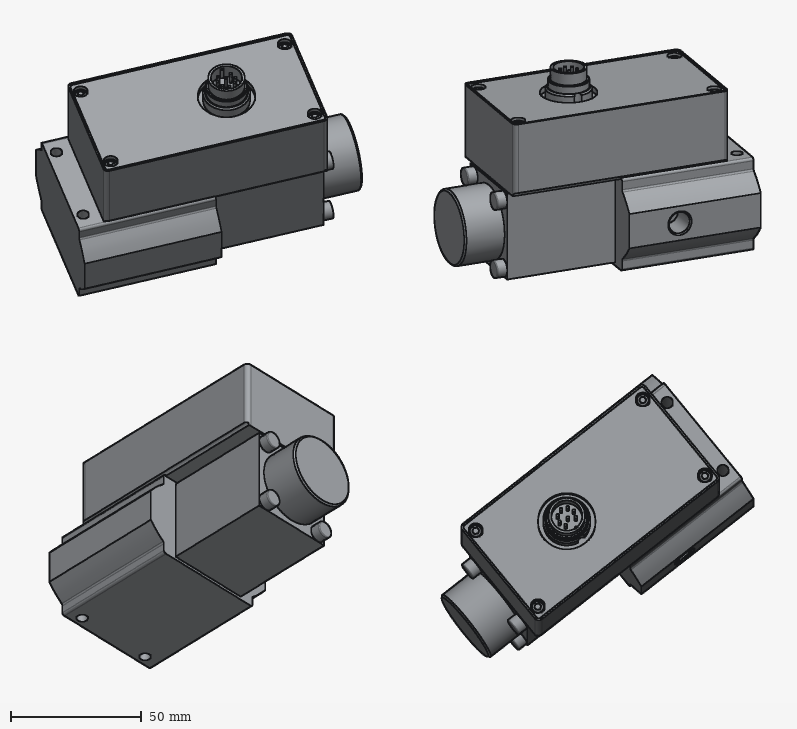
import cadquery as cq
import math

TOTAL_LENGTH = 116.5
TOTAL_HEIGHT = 77.1

BODY_WIDTH = 48.0
BODY_HEIGHT = 38.0
BODY_LENGTH = 54.9
BODY_EDGE_RADIUS = 1.0
WING_SPAN = 62.0
WING_ROOT_HEIGHT = 28.2
WING_TIP_HEIGHT = 14.1
WING_BULGE = 0.3
WING_ROOT_RADIUS = 1.0

AXIS_Z = BODY_HEIGHT / 2
MOUNT_HOLE_DIAMETER = 4.4
MOUNT_HOLE_SPACING = 34.0
MOUNT_HOLE_Y = 3.8
PORT_DIAMETER = 8.6
PORT_MOUTH_DIAMETER = 9.8
PORT_DEPTH = 11.6
PORT_Y = 33.8

BLOCK_SIZE = 35.2
BLOCK_END_Y = 100.0
CYLINDER_DIAMETER = 30.0
CYLINDER_CHAMFER = 0.7
CAP_SCREW_DIAMETER = 7.0
CAP_SCREW_HEIGHT = 4.2
CAP_SCREW_SPACING = 28.0
CAP_SCREW_EDGE_RADIUS = 0.3

BOX_WIDTH = 48.0
BOX_FRONT_Y = 10.3
BOX_LENGTH = BLOCK_END_Y - BOX_FRONT_Y
BOX_BOTTOM_Z = 37.5
BOX_TOP_Z = 67.1
BOX_CORNER_RADIUS = 1.9
RABBET_WIDTH = 1.0
RABBET_HEIGHT = 1.4
RABBET_RADIUS = 1.0
RIM_WIDTH = 0.8
LID_RECESS = 0.3

LID_SCREW_SPACING_X = 38.0
LID_SCREW_SPACING_Y = 81.8
LID_POCKET_DIAMETER = 5.5
LID_POCKET_DEPTH = 1.7
LID_HEAD_DIAMETER = 4.4
LID_HEAD_HEIGHT = 1.0
LID_HEAD_RADIUS = 0.8
LID_SOCKET_CORNERS = 2.7
LID_SOCKET_DEPTH = 0.7

SPACER_YS = (74.7, 92.9)
SPACER_BASE_DIAMETER = 5.5
SPACER_BASE_HEIGHT = 0.3
SPACER_DIAMETER = 5.0

PLUG_Y = 66.6
PLUG_POCKET_DIAMETER = 22.0
PLUG_POCKET_DEPTH = 2.3
FLANGE_DIAMETER = 18.0
FLANGE_TOP_Z = 69.2
FLANGE_CHAMFER = 0.7
COLLAR_DIAMETER = 16.0
COLLAR_TOP_Z = 72.3
COLLAR_CHAMFER = 0.2
SLEEVE_DIAMETER = 14.0
SLEEVE_BORE_DIAMETER = 11.9
SLEEVE_BORE_DEPTH = 5.8
NOTCH_WIDTH = 3.0
KEY_RADIUS = 0.7
PIN_DIAMETER = 1.1
PIN_LENGTH = 4.7
PIN_CIRCLE_RADIUS = 3.5
PIN_PITCH_ANGLE = 45
CENTRE_PIN_X = -0.7


def disc(diameter, height, x, y, z):
    """Vertical cylinder standing on the point (x, y, z)."""
    return cq.Workplane("XY", origin=(x, y, z)).circle(diameter / 2).extrude(height)


def make_body():
    core = (
        cq.Workplane("XY")
        .box(BODY_WIDTH, BODY_LENGTH, BODY_HEIGHT, centered=(True, False, False))
        .edges("|Y")
        .fillet(BODY_EDGE_RADIUS)
    )
    root_x = BODY_WIDTH / 2
    tip_x = WING_SPAN / 2
    root_z = WING_ROOT_HEIGHT / 2
    tip_z = WING_TIP_HEIGHT / 2
    slope_length = math.hypot(tip_x - root_x, root_z - tip_z)
    arc_x = (root_x + tip_x) / 2 + WING_BULGE * (root_z - tip_z) / slope_length
    arc_z = (root_z + tip_z) / 2 + WING_BULGE * (tip_x - root_x) / slope_length
    wings = (
        cq.Workplane("XZ", origin=(0, 0, AXIS_Z))
        .moveTo(-root_x, root_z)
        .lineTo(root_x, root_z)
        .threePointArc((arc_x, arc_z), (tip_x, tip_z))
        .lineTo(tip_x, -tip_z)
        .threePointArc((arc_x, -arc_z), (root_x, -root_z))
        .lineTo(-root_x, -root_z)
        .threePointArc((-arc_x, -arc_z), (-tip_x, -tip_z))
        .lineTo(-tip_x, tip_z)
        .threePointArc((-arc_x, arc_z), (-root_x, root_z))
        .close()
        .extrude(-BODY_LENGTH)
    )
    body = core.union(wings)
    for side in (-1, 1):
        for level in (-1, 1):
            root = (side * root_x, BODY_LENGTH / 2, AXIS_Z + level * root_z)
            body = body.edges(cq.selectors.NearestToPointSelector(root)).fillet(WING_ROOT_RADIUS)

    mount_holes = (
        cq.Workplane("XY")
        .pushPoints([(side * MOUNT_HOLE_SPACING / 2, MOUNT_HOLE_Y) for side in (-1, 1)])
        .circle(MOUNT_HOLE_DIAMETER / 2)
        .extrude(BODY_HEIGHT)
    )
    port_face = cq.Workplane("YZ", origin=(-tip_x, PORT_Y, AXIS_Z))
    port = port_face.circle(PORT_DIAMETER / 2).extrude(PORT_DEPTH)
    mouth_depth = (PORT_MOUTH_DIAMETER - PORT_DIAMETER) / 2
    mouth = port_face.circle(PORT_MOUTH_DIAMETER / 2).extrude(mouth_depth, taper=45)
    return body.cut(mount_holes).cut(port).cut(mouth)


def make_rear():
    block = cq.Workplane("XY", origin=(0, BODY_LENGTH, AXIS_Z)).box(
        BLOCK_SIZE, BLOCK_END_Y - BODY_LENGTH, BLOCK_SIZE, centered=(True, False, True)
    )
    rear_face = cq.Workplane("XZ", origin=(0, BLOCK_END_Y, AXIS_Z))
    cylinder = (
        rear_face.circle(CYLINDER_DIAMETER / 2)
        .extrude(BLOCK_END_Y - TOTAL_LENGTH)
        .faces(">Y")
        .chamfer(CYLINDER_CHAMFER)
    )
    cap_screws = (
        rear_face.rect(CAP_SCREW_SPACING, CAP_SCREW_SPACING, forConstruction=True)
        .vertices()
        .circle(CAP_SCREW_DIAMETER / 2)
        .extrude(-CAP_SCREW_HEIGHT)
        .faces(">Y")
        .edges()
        .fillet(CAP_SCREW_EDGE_RADIUS)
    )
    rear = block.union(cylinder).union(cap_screws)

    block_top_z = AXIS_Z + BLOCK_SIZE / 2
    for y in SPACER_YS:
        rear = rear.union(disc(SPACER_BASE_DIAMETER, SPACER_BASE_HEIGHT, 0, y, block_top_z))
        rear = rear.union(disc(SPACER_DIAMETER, BOX_BOTTOM_Z - block_top_z, 0, y, block_top_z))
    return rear


def make_box():
    centre_y = BOX_FRONT_Y + BOX_LENGTH / 2
    box = (
        cq.Workplane("XY", origin=(0, centre_y, BOX_BOTTOM_Z))
        .box(BOX_WIDTH, BOX_LENGTH, BOX_TOP_Z - BOX_BOTTOM_Z, centered=(True, True, False))
        .edges("|Z")
        .fillet(BOX_CORNER_RADIUS)
    )
    bar_size = 2 * RABBET_HEIGHT
    bar_centre_x = BOX_WIDTH / 2 - RABBET_WIDTH + bar_size / 2
    for side in (-1, 1):
        rabbet = (
            cq.Workplane("XY", origin=(side * bar_centre_x, centre_y, BOX_BOTTOM_Z))
            .box(bar_size, BOX_LENGTH, bar_size)
            .edges("|Y")
            .fillet(RABBET_RADIUS)
        )
        box = box.cut(rabbet)

    lid_z = BOX_TOP_Z - LID_RECESS
    recess = (
        cq.Workplane("XY", origin=(0, centre_y, lid_z))
        .rect(BOX_WIDTH - 2 * RIM_WIDTH, BOX_LENGTH - 2 * RIM_WIDTH)
        .extrude(LID_RECESS)
        .edges("|Z")
        .fillet(BOX_CORNER_RADIUS - RIM_WIDTH)
    )
    box = box.cut(recess)

    pocket_floor_z = lid_z - LID_POCKET_DEPTH
    for side in (-1, 1):
        for end in (-1, 1):
            x = side * LID_SCREW_SPACING_X / 2
            y = centre_y + end * LID_SCREW_SPACING_Y / 2
            head = disc(LID_HEAD_DIAMETER, LID_HEAD_HEIGHT, x, y, pocket_floor_z)
            head = head.faces(">Z").fillet(LID_HEAD_RADIUS)
            socket_z = pocket_floor_z + LID_HEAD_HEIGHT - LID_SOCKET_DEPTH
            socket = cq.Workplane("XY", origin=(x, y, socket_z)).polygon(6, LID_SOCKET_CORNERS)
            head = head.cut(socket.extrude(LID_SOCKET_DEPTH))
            box = box.cut(disc(LID_POCKET_DIAMETER, LID_POCKET_DEPTH, x, y, pocket_floor_z)).union(head)

    return box.cut(disc(PLUG_POCKET_DIAMETER, PLUG_POCKET_DEPTH, 0, PLUG_Y, lid_z - PLUG_POCKET_DEPTH))


def make_plug():
    base_z = BOX_TOP_Z - LID_RECESS - PLUG_POCKET_DEPTH
    flange = disc(FLANGE_DIAMETER, FLANGE_TOP_Z - base_z, 0, PLUG_Y, base_z).faces(">Z").chamfer(FLANGE_CHAMFER)
    notch_depth = (FLANGE_DIAMETER - COLLAR_DIAMETER) / 2
    notch_radius = (NOTCH_WIDTH**2 / 4 + notch_depth**2) / (2 * notch_depth)
    notch = disc(2 * notch_radius, FLANGE_TOP_Z - base_z, -COLLAR_DIAMETER / 2 - notch_radius, PLUG_Y, base_z)
    collar = (
        disc(COLLAR_DIAMETER, COLLAR_TOP_Z - FLANGE_TOP_Z, 0, PLUG_Y, FLANGE_TOP_Z)
        .faces(">Z")
        .chamfer(COLLAR_CHAMFER)
    )
    sleeve = disc(SLEEVE_DIAMETER, TOTAL_HEIGHT - COLLAR_TOP_Z, 0, PLUG_Y, COLLAR_TOP_Z)
    floor_z = TOTAL_HEIGHT - SLEEVE_BORE_DEPTH
    bore = disc(SLEEVE_BORE_DIAMETER, SLEEVE_BORE_DEPTH, 0, PLUG_Y, floor_z)
    plug = flange.cut(notch).union(collar).union(sleeve).cut(bore)

    plug = plug.union(disc(2 * KEY_RADIUS, PIN_LENGTH, -SLEEVE_BORE_DIAMETER / 2, PLUG_Y, floor_z))
    plug = plug.union(disc(PIN_DIAMETER, PIN_LENGTH, CENTRE_PIN_X, PLUG_Y, floor_z))
    for step in range(-3, 4):
        angle = math.radians(step * PIN_PITCH_ANGLE)
        x = PIN_CIRCLE_RADIUS * math.cos(angle)
        y = PLUG_Y + PIN_CIRCLE_RADIUS * math.sin(angle)
        plug = plug.union(disc(PIN_DIAMETER, PIN_LENGTH, x, y, floor_z))
    return plug


result = make_body().union(make_rear()).union(make_box()).union(make_plug())